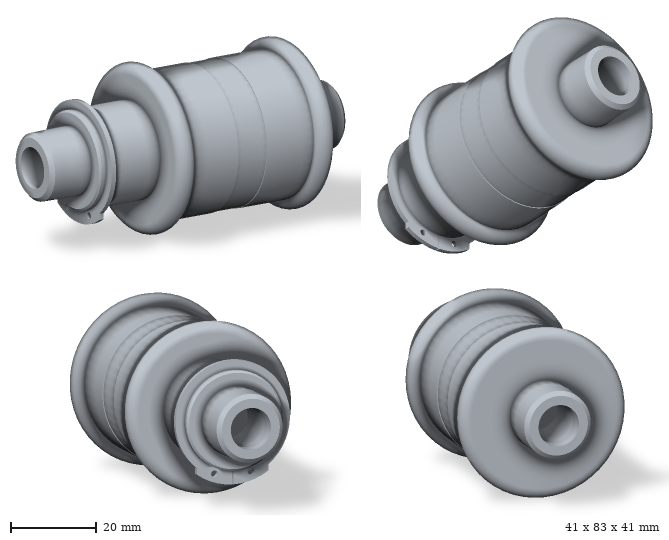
import cadquery as cq
import math

total_length = 83.0
stub_length = 11.0
sleeve_length = 16.9
rim_width = 5.0
body_length = total_length - 2 * stub_length - sleeve_length
band_width = 8.0

rim_flat_diameter = 36.0
body_diameter = 35.85
band_diameter = 35.4
sleeve_diameter = 23.9
groove_diameter = 22.9
stub_root_diameter = 16.8
stub_tip_diameter = 16.35
bore_diameter = 10.0
bore_depth = 16.6

tip_chamfer = 1.0
sleeve_chamfer = 0.5

ring_front = 12.9
ring_thickness = 1.25
groove_width = 1.4
ring_diameter = 28.4
lug_diameter = 30.8
lug_width = 17.8
lug_hole_diameter = 1.6
lug_hole_spacing = 9.1
lug_hole_drop = 12.6
ring_gap = 0.25

front_stub = 0.0
sleeve_front = front_stub + stub_length
body_front = sleeve_front + sleeve_length
body_back = body_front + body_length
body_middle = (body_front + body_back) / 2


def cylinder(diameter, start, length):
    """Solid cylinder on the part axis, running from start toward +Y."""
    plane = cq.Plane(origin=(0, start, 0), xDir=(1, 0, 0), normal=(0, 1, 0))
    return cq.Workplane(plane).circle(diameter / 2).extrude(length)


def make_stub():
    """Tapered front stub with a chamfered tip."""
    tip_radius = stub_tip_diameter / 2
    return (
        cq.Workplane("XY")
        .moveTo(0, front_stub)
        .lineTo(tip_radius - tip_chamfer, front_stub)
        .lineTo(tip_radius, front_stub + tip_chamfer)
        .lineTo(stub_root_diameter / 2, sleeve_front)
        .lineTo(0, sleeve_front)
        .close()
        .revolve(360, (0, 0, 0), (0, 1, 0))
    )


def make_rim(start):
    """Flange disc with a full half-round edge around its flat faces."""
    flat_radius = rim_flat_diameter / 2
    return (
        cq.Workplane("XY")
        .moveTo(0, start)
        .lineTo(flat_radius, start)
        .threePointArc((flat_radius + rim_width / 2, start + rim_width / 2), (flat_radius, start + rim_width))
        .lineTo(0, start + rim_width)
        .close()
        .revolve(360, (0, 0, 0), (0, 1, 0))
    )


def make_sleeve():
    """Plain sleeve with a chamfered front edge and a retaining ring groove."""
    sleeve = cylinder(sleeve_diameter, sleeve_front, sleeve_length)
    sleeve = sleeve.faces("<Y").chamfer(sleeve_chamfer)
    groove = cylinder(sleeve_diameter, ring_front, groove_width)
    groove = groove.cut(cylinder(groove_diameter, ring_front, groove_width))
    return sleeve.cut(groove)


def make_body():
    """Drum with a slightly recessed middle band and a rounded rim at each end."""
    side_length = (body_length - band_width) / 2
    body = cylinder(body_diameter, body_front, side_length)
    body = body.union(cylinder(band_diameter, body_middle - band_width / 2, band_width))
    body = body.union(cylinder(body_diameter, body_back - side_length, side_length))
    for start in (body_front, body_back - rim_width):
        body = body.union(make_rim(start))
    return body


def make_retaining_ring():
    """Split ring with two drilled lugs below the axis, seated in the sleeve groove."""
    ring_middle = ring_front + ring_thickness / 2
    lug_top = -math.sqrt(ring_diameter**2 - lug_width**2) / 2
    lug_height = lug_diameter / 2 + lug_top
    lugs = (
        cq.Workplane("XY")
        .box(lug_width, ring_thickness, lug_height)
        .translate((0, ring_middle, lug_top - lug_height / 2))
        .intersect(cylinder(lug_diameter, ring_front, ring_thickness))
    )
    ring = cylinder(ring_diameter, ring_front, ring_thickness).union(lugs)
    gap_height = lug_diameter / 2
    gap = (
        cq.Workplane("XY")
        .box(ring_gap, ring_thickness, gap_height)
        .translate((0, ring_middle, -gap_height / 2))
    )
    ring = ring.cut(gap)
    for side in (-1, 1):
        hole = cylinder(lug_hole_diameter, ring_front, ring_thickness)
        ring = ring.cut(hole.translate((side * lug_hole_spacing / 2, 0, -lug_hole_drop)))
    return ring.cut(cylinder(groove_diameter, ring_front, ring_thickness))


front_end = make_stub()
back_end = front_end.mirror("XZ").translate((0, total_length, 0))

result = make_body().union(make_sleeve()).union(make_retaining_ring())
result = result.union(front_end).union(back_end)

for bore_start in (front_stub, total_length - bore_depth):
    result = result.cut(cylinder(bore_diameter, bore_start, bore_depth))